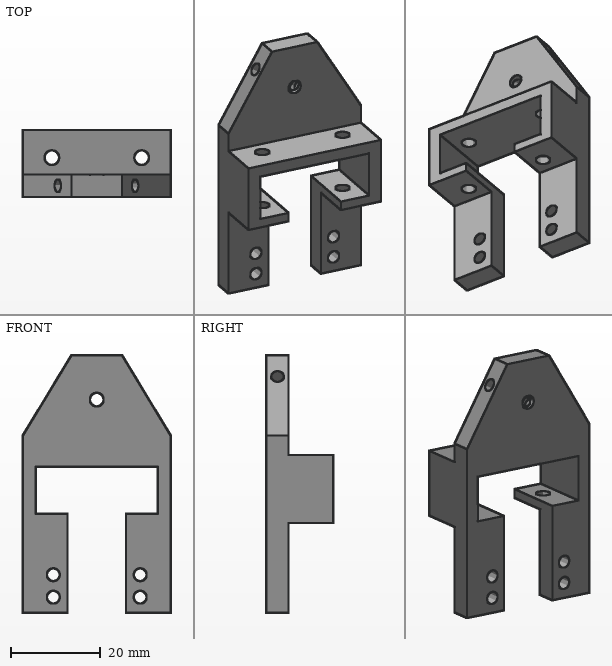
import cadquery as cq
import math

WIDTH = 32.99
HEIGHT = 57.42
PLATE_THICKNESS = 5.0
SHOULDER_HEIGHT = 39.5
TOP_WIDTH = 11.3

BLOCK_DEPTH = 10.0
BLOCK_BOTTOM = 20.0
BLOCK_TOP = 35.2

WINDOW_WIDTH = 27.1
WINDOW_BOTTOM = 22.1
WINDOW_TOP = 32.5
SLOT_WIDTH = 13.0

PIVOT_DIAMETER = 3.0
PIVOT_HEIGHT = 47.5
LEG_HOLE_DIAMETER = 2.8
LEG_HOLE_OFFSET = 9.67
LEG_HOLE_HEIGHTS = (3.5, 8.5)
BLOCK_HOLE_DIAMETER = 3.2
BLOCK_HOLE_OFFSET = 10.0
BLOCK_HOLE_Y = 8.8
SIDE_HOLE_DIAMETER = 2.8
SIDE_HOLE_Y = 2.55
SIDE_HOLE_DEPTH = 12.5
LEFT_HOLE_HEIGHT = 52.42
RIGHT_HOLE_HEIGHT = 52.65

TOTAL_DEPTH = PLATE_THICKNESS + BLOCK_DEPTH
SLOPE_RUN = (WIDTH - TOP_WIDTH) / 2
SLOPE_RISE = HEIGHT - SHOULDER_HEIGHT


def box_between(width, y_range, z_range):
    """Box centred on X = 0 that spans the given Y and Z ranges."""
    depth = y_range[1] - y_range[0]
    height = z_range[1] - z_range[0]
    box = cq.Workplane("XY").box(width, depth, height, centered=(True, False, False))
    return box.translate((0, y_range[0], z_range[0]))


def cylinder(diameter, length, start, direction):
    """Cylinder running from a start point along a direction."""
    solid = cq.Solid.makeCylinder(diameter / 2, length, cq.Vector(*start), cq.Vector(*direction))
    return cq.Workplane(solid)


def plate():
    """Upright plate whose top corners are cut to slopes."""
    half_width = WIDTH / 2
    half_top = TOP_WIDTH / 2
    outline = [
        (-half_width, 0),
        (half_width, 0),
        (half_width, SHOULDER_HEIGHT),
        (half_top, HEIGHT),
        (-half_top, HEIGHT),
        (-half_width, SHOULDER_HEIGHT),
    ]
    return cq.Workplane("XZ").polyline(outline).close().extrude(-PLATE_THICKNESS)


def block():
    """Full-width block on the back of the plate."""
    return box_between(WIDTH, (PLATE_THICKNESS, TOTAL_DEPTH), (BLOCK_BOTTOM, BLOCK_TOP))


def opening():
    """T-shaped opening through the plate and the block."""
    window = box_between(WINDOW_WIDTH, (0, TOTAL_DEPTH), (WINDOW_BOTTOM, WINDOW_TOP))
    slot = box_between(SLOT_WIDTH, (0, TOTAL_DEPTH), (0, WINDOW_TOP))
    return window.union(slot)


def plate_hole(diameter, x, z):
    """Hole through the plate along Y."""
    return cylinder(diameter, PLATE_THICKNESS, (x, 0, z), (0, 1, 0))


def block_hole(side):
    """Vertical hole through the block, above and below the window."""
    start = (side * BLOCK_HOLE_OFFSET, BLOCK_HOLE_Y, BLOCK_BOTTOM)
    return cylinder(BLOCK_HOLE_DIAMETER, BLOCK_TOP - BLOCK_BOTTOM, start, (0, 0, 1))


def side_hole(side, entry_height):
    """Blind hole square to a sloped edge, crossing the pivot hole and ending just beyond it."""
    slope_length = math.hypot(SLOPE_RUN, SLOPE_RISE)
    inward_x = SLOPE_RISE / slope_length
    inward_z = -SLOPE_RUN / slope_length
    entry_x = WIDTH / 2 - SLOPE_RUN * (entry_height - SHOULDER_HEIGHT) / SLOPE_RISE
    start = (side * entry_x, SIDE_HOLE_Y, entry_height)
    return cylinder(SIDE_HOLE_DIAMETER, SIDE_HOLE_DEPTH, start, (-side * inward_x, 0, inward_z))


result = plate().union(block()).cut(opening())
result = result.cut(plate_hole(PIVOT_DIAMETER, 0, PIVOT_HEIGHT))
result = result.cut(side_hole(-1, LEFT_HOLE_HEIGHT))
result = result.cut(side_hole(1, RIGHT_HOLE_HEIGHT))
for side in (-1, 1):
    result = result.cut(block_hole(side))
    for height in LEG_HOLE_HEIGHTS:
        result = result.cut(plate_hole(LEG_HOLE_DIAMETER, side * LEG_HOLE_OFFSET, height))